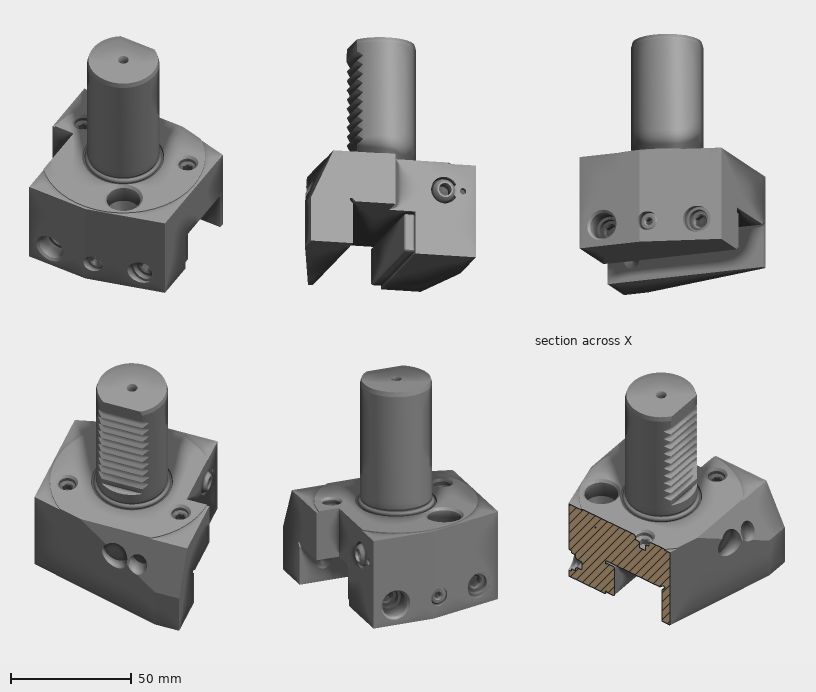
import cadquery as cq
import math


total_height = 95.0
block_width = 70.0
block_height = 40.0
front_y = -35.0
back_y = 38.0
right_x = block_width / 2
left_x = -right_x
notch_x = -25.0
notch_y = 2.0
front_taper_x = 2.0
back_taper_x = -24.2
taper_angle = 15.0
slope_foot_z = 18.9
slope_angle = 25.0
boss_radius = 34.0
boss_height = 0.6

channel_back_y = 20.0
channel_front_y = -9.0
channel_height = 18.05
relief_radius = 0.7
relief_offset = 0.8

shank_radius = 15.0
shank_chamfer_height = 2.0
shank_chamfer_angle = 15.0
neck_radius = 14.7
neck_height = 1.5
neck_cone_height = 0.8
flat_y = 12.0
flat_start_height = 7.0
tooth_count = 10
tooth_pitch = 4.0
tooth_depth = tooth_pitch / 2
first_root_height = 11.7
center_drill_radius = 2.3
center_drill_angle = 60.0
pilot_radius = 0.7
pilot_depth = 5.7

seal_center_radius = 14.8
seal_section_radius = 1.2
seal_groove_radius = 17.0
seal_groove_floor_radius = 16.7
seal_groove_depth = 1.0

bar_center_x = 5.0
bar_length = 57.95
bar_thickness = 4.6
bar_bottom_z = 1.1
bar_top_z = 17.1
bar_chamfer = 0.6
clamp_screw_z = 9.0
clamp_screw_offset = 20.0
clamp_bore_radius = 5.6
clamp_bore_chamfer = 0.95
clamp_floor_y = -27.2
clamp_recess_radius = 4.4
clamp_recess_depth = 2.3
clamp_hex_width = 4.7
retainer_bore_radius = 4.0
retainer_bore_floor_y = -29.45
retainer_head_radius = 3.8
retainer_head_height = 3.4
retainer_head_chamfer = 0.6
retainer_hex_width = 2.7
hex_depth = 3.3
hex_lead_in = 0.4

top_screw_x = 25.0
top_screw_y = 10.0
top_screw_radius = 3.6
top_screw_chamfer = 0.95
top_screw_depth = 2.5
top_screw_hex_width = 3.7

inlet_x = 12.5
inlet_y = -21.7
inlet_radius = 7.0
inlet_chamfer = 1.0
inlet_depth = 8.3
drill_point_angle = 118.0

coolant_z = 28.0
nozzle_y = -21.5
nozzle_seat_radius = 5.7
nozzle_seat_floor_radius = 5.3
nozzle_seat_depth = 2.5
ball_radius = 5.1
ball_sink = 2.5
ball_projection = 1.4
ball_bore_radius = 2.7
ball_bore_depth = 5.7
lock_disc_y = -29.45
lock_disc_radius = 4.1
lock_hole_radius = 1.3
lock_hole_depth = 2.4

plug_hole_x = -15.0
plug_hole_radius = 4.1
wide_hole_x = -4.3
wide_hole_radius = 6.1
back_hole_floor_y = 28.5
leg_hole_x = -24.1
leg_hole_radius = 3.4


def tan_deg(angle):
    return math.tan(math.radians(angle))


def cone(base_radius, tip_radius, height, origin, direction):
    """Solid cone whose base sits at origin and which narrows along direction."""
    solid = cq.Solid.makeCone(base_radius, tip_radius, height, cq.Vector(*origin), cq.Vector(*direction))
    return cq.Workplane(obj=solid)


def rod(radius, length, origin, direction):
    solid = cq.Solid.makeCylinder(radius, length, cq.Vector(*origin), cq.Vector(*direction))
    return cq.Workplane(obj=solid)


def hex_socket(width, depth, origin, direction):
    """Hexagon socket with a conical lead-in wider than its corners."""
    corner_radius = width / math.sqrt(3)
    plane = cq.Plane(origin=origin, normal=direction)
    prism = cq.Workplane(plane).polygon(6, 2 * corner_radius).extrude(depth)
    lead_in_radius = corner_radius + hex_lead_in
    return prism.union(cone(lead_in_radius, 0, lead_in_radius, origin, direction))


def block():
    right_front_y = front_y + (right_x - front_taper_x) * tan_deg(taper_angle)
    right_back_y = back_y - (right_x - back_taper_x) * tan_deg(taper_angle)
    outline = [
        (notch_x, front_y),
        (front_taper_x, front_y),
        (right_x, right_front_y),
        (right_x, right_back_y),
        (back_taper_x, back_y),
        (left_x, back_y),
        (left_x, notch_y),
        (notch_x, notch_y),
    ]
    body = cq.Workplane("XY").polyline(outline).close().extrude(block_height)

    boss_base_z = block_height - boss_height
    margin = (
        cq.Workplane("XY", origin=(0, 0, boss_base_z))
        .rect(2 * block_width, 2 * block_width)
        .circle(boss_radius)
        .extrude(boss_height)
    )
    body = body.cut(margin)

    slope_run = (block_height - slope_foot_z) * tan_deg(slope_angle)
    slope = (
        cq.Workplane("YZ")
        .polyline([(back_y, slope_foot_z), (back_y, block_height), (back_y - slope_run, block_height)])
        .close()
        .extrude(block_width, both=True)
    )
    return body.cut(slope)


def channel():
    """Through channel along X with a round-ended relief slot in its rear corner."""
    channel_width = channel_back_y - channel_front_y
    opening = (
        cq.Workplane("YZ", origin=(0, channel_front_y, 0))
        .rect(channel_width, channel_height, centered=False)
        .extrude(block_width, both=True)
    )
    slot_length = relief_offset * math.sqrt(2)
    relief = (
        cq.Workplane("YZ", origin=(0, channel_back_y, channel_height))
        .transformed(rotate=(0, 0, 45))
        .slot2D(2 * (slot_length + relief_radius), 2 * relief_radius)
        .extrude(block_width, both=True)
    )
    return opening.union(relief)


def shank():
    """Shank with its neck; it reaches below the seal groove to join the block."""
    tip_radius = shank_radius - shank_chamfer_height * tan_deg(shank_chamfer_angle)
    neck_z = block_height + neck_height
    profile = [
        (0, block_height - 2 * seal_groove_depth),
        (neck_radius, block_height - 2 * seal_groove_depth),
        (neck_radius, neck_z),
        (shank_radius, neck_z + neck_cone_height),
        (shank_radius, total_height - shank_chamfer_height),
        (tip_radius, total_height),
        (0, total_height),
    ]
    return cq.Workplane("XZ").polyline(profile).close().revolve(360, (0, 0, 0), (0, 1, 0))


def serration():
    """Flat on the +Y side of the shank together with its row of V grooves."""
    flat_z = block_height + flat_start_height
    cutter = cq.Workplane("XY", origin=(0, flat_y + shank_radius / 2, flat_z)).box(
        2 * shank_radius, shank_radius, total_height - flat_z, centered=(True, True, False)
    )
    root_y = flat_y - tooth_depth
    for index in range(tooth_count):
        root_z = block_height + first_root_height + index * tooth_pitch
        groove = (
            cq.Workplane("YZ")
            .polyline([(root_y, root_z), (flat_y, root_z - tooth_depth), (flat_y, root_z + tooth_depth)])
            .close()
            .extrude(shank_radius, both=True)
        )
        cutter = cutter.union(groove)
    return cutter


def center_drill():
    cone_depth = (center_drill_radius - pilot_radius) / tan_deg(center_drill_angle / 2)
    top = (0, 0, total_height)
    countersink = cone(center_drill_radius, pilot_radius, cone_depth, top, (0, 0, -1))
    return countersink.union(rod(pilot_radius, pilot_depth, top, (0, 0, -1)))


def seal_groove():
    return cone(
        seal_groove_radius, seal_groove_floor_radius, seal_groove_depth, (0, 0, block_height), (0, 0, -1)
    )


def seal_ring():
    ring = cq.Solid.makeTorus(seal_center_radius, seal_section_radius, cq.Vector(0, 0, block_height))
    return cq.Workplane(obj=ring)


def clamp_bar():
    return (
        cq.Workplane("XY", origin=(bar_center_x, channel_front_y, bar_bottom_z))
        .box(bar_length, bar_thickness, bar_top_z - bar_bottom_z, centered=(True, False, False))
        .edges()
        .chamfer(bar_chamfer)
    )


def clamp_screw_hole(x):
    """Bore from the front ending at a screw face with a hexagon socket."""
    inward = (0, 1, 0)
    floor = (x, clamp_floor_y, clamp_screw_z)
    recess_floor = (x, clamp_floor_y + clamp_recess_depth, clamp_screw_z)
    hole = rod(clamp_bore_radius, clamp_floor_y - front_y, (x, front_y, clamp_screw_z), inward)
    hole = hole.union(rod(clamp_recess_radius, clamp_recess_depth, floor, inward))
    return hole.union(hex_socket(clamp_hex_width, hex_depth, recess_floor, inward))


def clamp_bore_edge():
    """Countersink of the screw bore that opens in the straight part of the front."""
    edge = (bar_center_x - clamp_screw_offset, front_y, clamp_screw_z)
    rim_radius = clamp_bore_radius + clamp_bore_chamfer
    return cone(rim_radius, clamp_bore_radius, clamp_bore_chamfer, edge, (0, 1, 0))


def retainer_bore():
    depth = retainer_bore_floor_y - front_y
    return rod(retainer_bore_radius, depth, (bar_center_x, front_y, clamp_screw_z), (0, 1, 0))


def retainer_head():
    head_face = (bar_center_x, retainer_bore_floor_y - retainer_head_height, clamp_screw_z)
    head = rod(retainer_head_radius, retainer_head_height, head_face, (0, 1, 0))
    head = head.faces("<Y").chamfer(retainer_head_chamfer)
    return head.cut(hex_socket(retainer_hex_width, hex_depth, head_face, (0, 1, 0)))


def top_screw_hole(x):
    down = (0, 0, -1)
    top = (x, top_screw_y, block_height)
    floor = (x, top_screw_y, block_height - top_screw_depth)
    hole = rod(top_screw_radius, top_screw_depth, top, down)
    hole = hole.union(
        cone(top_screw_radius + top_screw_chamfer, top_screw_radius, top_screw_chamfer, top, down)
    )
    return hole.union(hex_socket(top_screw_hex_width, hex_depth, floor, down))


def coolant_inlet():
    down = (0, 0, -1)
    top = (inlet_x, inlet_y, block_height)
    floor = (inlet_x, inlet_y, block_height - inlet_depth)
    point_height = inlet_radius / tan_deg(drill_point_angle / 2)
    hole = rod(inlet_radius, inlet_depth, top, down)
    hole = hole.union(cone(inlet_radius + inlet_chamfer, inlet_radius, inlet_chamfer, top, down))
    return hole.union(cone(inlet_radius, 0, point_height, floor, down))


def nozzle_seat():
    seat_center = (notch_x, nozzle_y, coolant_z)
    return cone(nozzle_seat_radius, nozzle_seat_floor_radius, nozzle_seat_depth, seat_center, (1, 0, 0))


def nozzle_ball():
    """Ball with a flat face standing proud of the left side."""
    face = (notch_x - ball_projection, nozzle_y, coolant_z)
    ball = cq.Workplane("XY", origin=(notch_x + ball_sink, nozzle_y, coolant_z)).sphere(ball_radius)
    return ball.intersect(rod(ball_radius, 2 * ball_radius, face, (1, 0, 0)))


def nozzle_bore():
    face = (notch_x - ball_projection, nozzle_y, coolant_z)
    return rod(ball_bore_radius, ball_bore_depth, face, (1, 0, 0))


def lock_disc():
    """Locking disc, flush with the left side, that covers the rim of the nozzle seat."""
    return rod(lock_disc_radius, nozzle_seat_depth, (notch_x, lock_disc_y, coolant_z), (1, 0, 0))


def lock_hole():
    return rod(lock_hole_radius, lock_hole_depth, (notch_x, lock_disc_y, coolant_z), (1, 0, 0))


def back_hole(x, radius):
    return rod(radius, back_y - back_hole_floor_y, (x, back_hole_floor_y, coolant_z), (0, 1, 0))


def leg_hole():
    """Conical drill point in the channel side of the rear leg."""
    depth = leg_hole_radius / tan_deg(drill_point_angle / 2)
    return cone(leg_hole_radius, 0, depth, (leg_hole_x, channel_back_y, clamp_screw_z), (0, 1, 0))


result = block().cut(channel()).cut(seal_groove())
result = result.union(shank().cut(serration())).union(seal_ring())
result = result.cut(center_drill()).cut(coolant_inlet())
result = result.union(clamp_bar())

for side in (-1, 1):
    result = result.cut(clamp_screw_hole(bar_center_x + side * clamp_screw_offset))
    result = result.cut(top_screw_hole(side * top_screw_x))

result = result.cut(clamp_bore_edge()).cut(retainer_bore()).union(retainer_head())
result = result.cut(nozzle_seat()).union(nozzle_ball()).cut(nozzle_bore())
result = result.union(lock_disc()).cut(lock_hole())
result = result.cut(back_hole(plug_hole_x, plug_hole_radius))
result = result.cut(back_hole(wide_hole_x, wide_hole_radius))
result = result.cut(leg_hole())